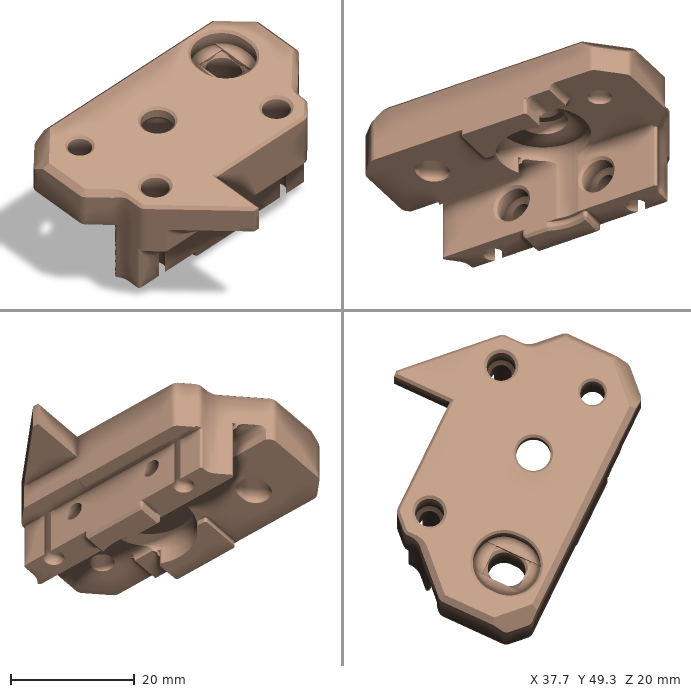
import cadquery as cq
import math

LENGTH = 49.25
TIP_X = 37.65

FRONT_CUT = 4.35
REAR_CUT = 3.1
FRONT_RIGHT_X = 15.75
REAR_RIGHT_X = 14.85
EAR_FRONT_Y = 4.7
EAR_REAR_Y = 41.7
EAR_CUT_SUM = 66.45
RIGHT_X = 27.6
WING_REAR_Y = 18.6
WING_SLOPE_OFFSET = 20.1
CORNER_RADIUS = 1.5
INNER_RADIUS = 3.0

WIDE_CHAMFER = 1.0
NARROW_CHAMFER = 0.5
CORNER_CHAMFER = 2.5

WING_DEPTH = 5.0
PLATE_DEPTH = 7.0
PAD_DEPTH = 8.05
RIGHT_BLOCK_DEPTH = 9.8
BOSS_DEPTH = 10.05
FOOT_DEPTH = 11.05
LEG_DEPTH = 18.5
TOTAL_DEPTH = 20.0

BOSS_FRONT_Y = 16.95
BOSS_RIGHT_X = 15.8
FOOT_RIGHT_X = 7.8
FOOT_REAR_Y = 29.3
PAD_FRONT_Y = 12.55
PAD_RIGHT_X = 5.3
COVE_RADIUS = 1.0
EDGE_RADIUS = 0.5

LEG_LEFT_X = 19.15
LEG_RIGHT_X = 24.25
LEG_EDGE_RADIUS = 0.4
TAB_FRONT_Y = 17.4
TAB_CHAMFER = 0.45
TAB_CLEARANCE_DIAMETER = 16.75
RIGHT_RIB_X = 25.25

RIM_CHAMFER = 0.4
CENTRE_HOLE = (11.65, 20.75)
CENTRE_DIAMETER = 5.6
CENTRE_HOLE_DEPTH = 1.9
RECESS_DIAMETER = 8.0
CAVITY_DIAMETER = 15.5
CAVITY_CEILING = 4.35
SMALL_HOLE = (7.4, 7.45)
SMALL_DIAMETER = 4.0
SCREW_X = 22.65
SCREW_YS = (9.75, 36.8)
SCREW_DIAMETER = 3.4
SCREW_BORE_DIAMETER = 4.7
SCREW_RIM_DIAMETER = 5.6
SCREW_BORE_DEPTH = 5.0

POCKET = (7.7, 39.25)
STRETCH = 1.0
POCKET_WIDTH = 10.05
POCKET_DEPTH = 2.65
STEP = 0.25
STEP_LENGTH = 6.4
STEP_WIDTH = 5.3
POCKET_HOLE_WIDTH = 5.2
POCKET_HOLE_CHAMFER = 0.45

SIDE_YS = (15.2, 31.2)
SIDE_HOLE_DEPTH = 12.55
SIDE_DIAMETER = 3.2
SIDE_BORE_DIAMETER = 6.0
SIDE_BORE_LENGTH = 3.0
SIDE_RIM_CHAMFER = 0.45


def offset_outline(wide_inset, narrow_inset):
    """Plate outline moved inwards, by one amount on each kind of side."""
    diagonal = math.sqrt(0.5)
    sides = [
        (0, -1, 0, wide_inset),
        (diagonal, -diagonal, FRONT_RIGHT_X * diagonal, wide_inset),
        (0, -1, -EAR_FRONT_Y, narrow_inset),
        (diagonal, -diagonal, WING_SLOPE_OFFSET * diagonal, narrow_inset),
        (1, 0, TIP_X, narrow_inset),
        (0, 1, WING_REAR_Y, narrow_inset),
        (1, 0, RIGHT_X, narrow_inset),
        (diagonal, diagonal, EAR_CUT_SUM * diagonal, narrow_inset),
        (0, 1, EAR_REAR_Y, narrow_inset),
        (diagonal, diagonal, (REAR_RIGHT_X + LENGTH) * diagonal, wide_inset),
        (0, 1, LENGTH, wide_inset),
        (-diagonal, diagonal, (LENGTH - REAR_CUT) * diagonal, wide_inset),
        (-1, 0, 0, wide_inset),
        (-diagonal, -diagonal, -FRONT_CUT * diagonal, wide_inset),
    ]
    tip_sides = (4, 5, 6)
    path = None
    for index, (nx, ny, distance, inset) in enumerate(sides):
        px, py, previous_distance, previous_inset = sides[index - 1]
        before = previous_distance - previous_inset
        after = distance - inset
        turn = px * ny - py * nx
        corner = cq.Vector((before * ny - after * py) / turn, (after * px - before * nx) / turn)
        along_before = cq.Vector(-py, px)
        along_after = cq.Vector(-ny, nx)
        if index in tip_sides:
            start = middle = end = corner
        else:
            if turn > 0:
                radius = CORNER_RADIUS - max(inset, previous_inset)
            else:
                radius = INNER_RADIUS + min(inset, previous_inset)
            half_angle = math.acos(px * nx + py * ny) / 2
            tangent = radius * math.tan(half_angle)
            start = corner - along_before * tangent
            end = corner + along_after * tangent
            to_centre = (along_after - along_before).normalized()
            middle = corner + to_centre * (radius / math.cos(half_angle) - radius)
        if path is None:
            path = cq.Workplane("XY").moveTo(start.x, start.y)
        else:
            path = path.lineTo(start.x, start.y)
        if index not in tip_sides:
            path = path.threePointArc(middle.toTuple()[:2], end.toTuple()[:2])
    return path.close()


def outline_prism(depth):
    return offset_outline(0, 0).extrude(-depth)


def block(x_min, x_max, y_min, y_max, top_depth, bottom_depth):
    size = (x_max - x_min, y_max - y_min, bottom_depth - top_depth)
    return cq.Workplane("XY").box(*size, centered=False).translate((x_min, y_min, -bottom_depth))


def cylinder(centre, diameter, top_depth, bottom_depth):
    return (
        cq.Workplane("XY", origin=(*centre, -bottom_depth))
        .circle(diameter / 2)
        .extrude(bottom_depth - top_depth)
    )


def cone(centre, top_diameter, bottom_diameter, top_depth, bottom_depth):
    return (
        cq.Workplane("XY", origin=(*centre, -top_depth))
        .circle(top_diameter / 2)
        .workplane(offset=top_depth - bottom_depth)
        .circle(bottom_diameter / 2)
        .loft()
    )


def rim(centre, diameter, chamfer):
    return cone(centre, diameter + 2 * chamfer, diameter, 0, chamfer)


def cove(along, wall, outward, start, end, ceiling_depth):
    """Concave fillet between a ceiling and a wall that faces outward (+1 or -1) along X or Y."""
    middle = COVE_RADIUS * (1 - math.sqrt(0.5))
    profile = (
        cq.Workplane("XZ" if along == "Y" else "YZ")
        .moveTo(wall, -ceiling_depth)
        .lineTo(wall + outward * COVE_RADIUS, -ceiling_depth)
        .threePointArc(
            (wall + outward * middle, -ceiling_depth - middle),
            (wall, -ceiling_depth - COVE_RADIUS),
        )
        .close()
    )
    if along == "Y":
        return profile.extrude(start - end).translate((0, start, 0))
    return profile.extrude(end - start).translate((start, 0, 0))


def make_chamfered_top():
    """Top layer with both chamfer widths, blended where they meet."""
    top_wire = offset_outline(WIDE_CHAMFER, NARROW_CHAMFER).val()
    low_wire = offset_outline(0, NARROW_CHAMFER - WIDE_CHAMFER).val()
    low_wire = low_wire.translate(cq.Vector(0, 0, -WIDE_CHAMFER))
    tapered = cq.Solid.makeLoft([low_wire, top_wire], True)
    return outline_prism(WIDE_CHAMFER).intersect(cq.Workplane(tapered))


def corner_wedge(corner_y, inward_y):
    """Cutter for the large chamfer on a left corner; inward_y is the Y direction into the part."""
    return (
        cq.Workplane("XZ")
        .moveTo(CORNER_CHAMFER, 0)
        .lineTo(0, 0)
        .lineTo(0, -CORNER_CHAMFER)
        .close()
        .extrude(LENGTH / 4, both=True)
        .rotate((0, 0, 0), (0, 0, 1), 45 * inward_y)
        .translate((0, corner_y, 0))
    )


def make_cavity():
    return cylinder(CENTRE_HOLE, CAVITY_DIAMETER, CAVITY_CEILING, LEG_DEPTH)


def make_leg():
    leg = block(LEG_LEFT_X, LEG_RIGHT_X, 0, LENGTH, 0, LEG_DEPTH).intersect(outline_prism(LEG_DEPTH))
    leg = leg.cut(make_cavity())
    leg = leg.edges("|Z and (<X or >X)").fillet(LEG_EDGE_RADIUS)
    tab = block(LEG_LEFT_X, LEG_RIGHT_X, TAB_FRONT_Y, FOOT_REAR_Y, BOSS_DEPTH, TOTAL_DEPTH)
    tab = tab.cut(cylinder(CENTRE_HOLE, TAB_CLEARANCE_DIAMETER, 0, TOTAL_DEPTH))
    tab = tab.edges("|Z").fillet(EDGE_RADIUS)
    return leg.union(tab.faces("<Z").chamfer(TAB_CHAMFER))


def make_boss():
    """Left boss with its foot and the low pad in front of it."""
    boss = block(0, BOSS_RIGHT_X, BOSS_FRONT_Y, LENGTH, 0, BOSS_DEPTH)
    foot = block(0, FOOT_RIGHT_X, BOSS_FRONT_Y, FOOT_REAR_Y, 0, FOOT_DEPTH)
    boss = boss.union(foot).cut(make_cavity())
    boss = boss.edges("|Z and (not >Y)").fillet(EDGE_RADIUS)
    pad = block(0, PAD_RIGHT_X, PAD_FRONT_Y, BOSS_FRONT_Y + EDGE_RADIUS, 0, PAD_DEPTH)
    return boss.union(pad)


def make_right_block():
    """Thick part to the right of the leg, with a slightly lower rib behind the wing."""
    body = block(SCREW_X, RIGHT_X, 0, LENGTH, 0, RIGHT_BLOCK_DEPTH)
    rib = block(RIGHT_RIB_X, RIGHT_X, WING_REAR_Y, LENGTH, 0, BOSS_DEPTH)
    return body.union(rib)


def make_coves():
    coves = [
        cove("Y", BOSS_RIGHT_X, 1, BOSS_FRONT_Y, LENGTH, PLATE_DEPTH),
        cove("Y", LEG_LEFT_X, -1, EAR_FRONT_Y - LEG_EDGE_RADIUS, LENGTH, PLATE_DEPTH),
        cove("Y", PAD_RIGHT_X, 1, PAD_FRONT_Y, BOSS_FRONT_Y, PLATE_DEPTH),
        cove("X", BOSS_FRONT_Y, -1, 0, PAD_RIGHT_X, PAD_DEPTH),
        cove("X", PAD_FRONT_Y, -1, 0, PAD_RIGHT_X, PLATE_DEPTH),
    ]
    combined = coves[0]
    for item in coves[1:]:
        combined = combined.union(item)
    return combined


def make_body():
    wing_limit = block(RIGHT_X, TIP_X, 0, WING_REAR_Y, WING_DEPTH, PLATE_DEPTH)
    lower = outline_prism(PLATE_DEPTH).cut(wing_limit)
    lower = lower.union(make_boss()).union(make_right_block()).union(make_coves())
    lower = lower.intersect(outline_prism(FOOT_DEPTH)).union(make_leg())
    lower = lower.cut(block(0, TIP_X, 0, LENGTH, 0, WIDE_CHAMFER))
    body = lower.union(make_chamfered_top())
    body = body.cut(corner_wedge(FRONT_CUT, 1))
    return body.cut(corner_wedge(LENGTH - REAR_CUT, -1))


def elongated(width, top_depth, bottom_depth, taper=0):
    """Round-ended block going down; a 45 degree taper makes it a chamfer cutter."""
    return (
        cq.Workplane("XY", origin=(*POCKET, -top_depth))
        .slot2D(width + STRETCH, width)
        .extrude(top_depth - bottom_depth, taper=taper)
    )


def pocket_cutter():
    """Elongated pocket, a cross step, a rectangular step and an elongated through hole."""
    x, y = POCKET
    pocket = elongated(POCKET_WIDTH + 2 * RIM_CHAMFER, 0, RIM_CHAMFER, taper=45)
    pocket = pocket.union(elongated(POCKET_WIDTH, 0, POCKET_DEPTH))
    first_floor = POCKET_DEPTH + STEP
    second_floor = first_floor + STEP
    half_width = STEP_WIDTH / 2
    half_length = STEP_LENGTH / 2
    cross = elongated(POCKET_WIDTH, POCKET_DEPTH, first_floor)
    cross = cross.intersect(block(0, TIP_X, y - half_width, y + half_width, 0, first_floor))
    rectangle = block(
        x - half_length, x + half_length, y - half_width, y + half_width, POCKET_DEPTH, second_floor
    )
    flare = elongated(
        POCKET_HOLE_WIDTH + 2 * POCKET_HOLE_CHAMFER,
        second_floor,
        second_floor + POCKET_HOLE_CHAMFER,
        taper=45,
    )
    flare = flare.intersect(rectangle.translate((0, 0, POCKET_DEPTH - second_floor)))
    hole = elongated(POCKET_HOLE_WIDTH, POCKET_DEPTH, BOSS_DEPTH)
    return pocket.union(cross).union(rectangle).union(flare).union(hole)


def centre_cutter():
    """Centre hole that widens into a recess and then a large cavity beneath."""
    hole = cylinder(CENTRE_HOLE, CENTRE_DIAMETER, 0, CENTRE_HOLE_DEPTH)
    recess = cylinder(CENTRE_HOLE, RECESS_DIAMETER, CENTRE_HOLE_DEPTH, CAVITY_CEILING)
    return hole.union(recess).union(make_cavity()).union(rim(CENTRE_HOLE, CENTRE_DIAMETER, RIM_CHAMFER))


def screw_cutter(y):
    centre = (SCREW_X, y)
    rim_chamfer = (SCREW_RIM_DIAMETER - SCREW_BORE_DIAMETER) / 2
    seat_depth = SCREW_BORE_DEPTH + (SCREW_BORE_DIAMETER - SCREW_DIAMETER) / 2
    bore = cylinder(centre, SCREW_BORE_DIAMETER, 0, SCREW_BORE_DEPTH)
    bore = bore.union(rim(centre, SCREW_BORE_DIAMETER, rim_chamfer))
    seat = cone(centre, SCREW_BORE_DIAMETER, SCREW_DIAMETER, SCREW_BORE_DEPTH, seat_depth)
    return bore.union(seat).union(cylinder(centre, SCREW_DIAMETER, 0, LEG_DEPTH))


def side_cutter(y):
    """Cross hole through the leg with a chamfered counterbore in the left face."""
    axis = cq.Workplane("YZ", origin=(LEG_LEFT_X, y, -SIDE_HOLE_DEPTH))
    hole = axis.circle(SIDE_DIAMETER / 2).extrude(LEG_RIGHT_X - LEG_LEFT_X)
    bore = axis.circle(SIDE_BORE_DIAMETER / 2).extrude(SIDE_BORE_LENGTH)
    flare = (
        axis.circle(SIDE_BORE_DIAMETER / 2 + SIDE_RIM_CHAMFER)
        .workplane(offset=SIDE_RIM_CHAMFER)
        .circle(SIDE_BORE_DIAMETER / 2)
        .loft()
    )
    return hole.union(bore).union(flare)


result = make_body().cut(pocket_cutter()).cut(centre_cutter())
result = result.cut(cylinder(SMALL_HOLE, SMALL_DIAMETER, 0, PLATE_DEPTH))
result = result.cut(rim(SMALL_HOLE, SMALL_DIAMETER, RIM_CHAMFER))
for screw_y in SCREW_YS:
    result = result.cut(screw_cutter(screw_y))
for side_y in SIDE_YS:
    result = result.cut(side_cutter(side_y))